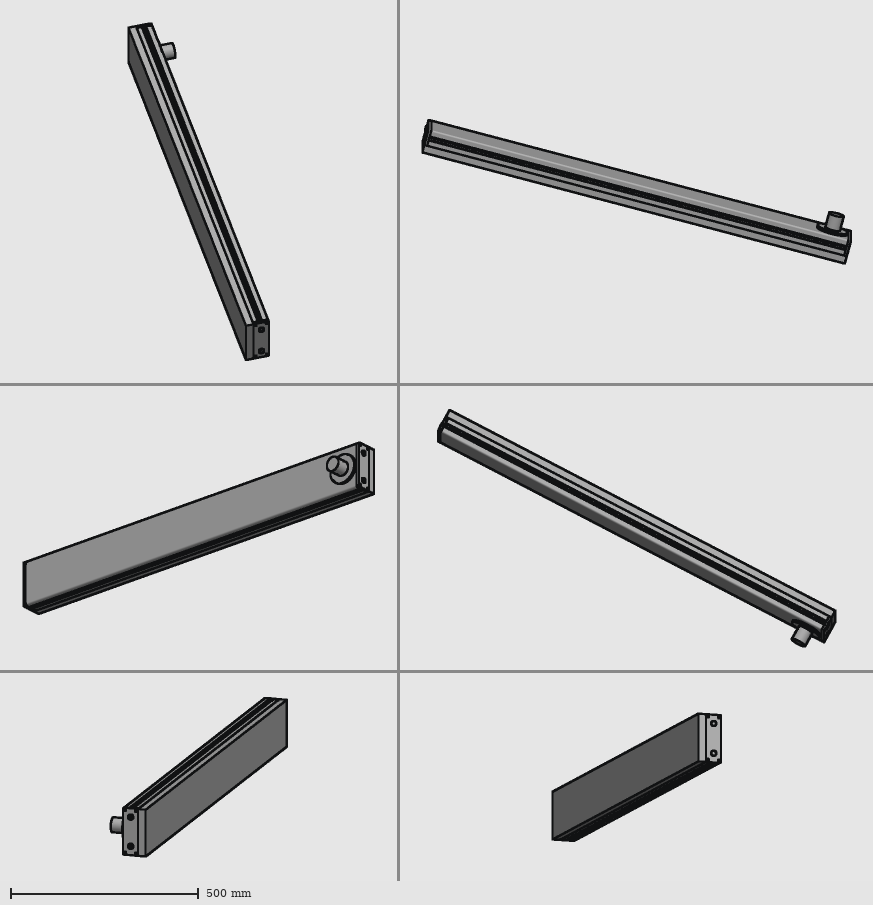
import cadquery as cq

overall_length = 1168.0
overall_depth = 110.0
height = 130.0

pad_depth = 21.0

plug_length = 3.0
body_length = overall_length - plug_length
cap_thickness = 7.6
cap_depth = 43.0
cap_back_y = pad_depth + cap_depth
back_edge_radius = 5.0

groove_front_y = 36.0
groove_back_y = 47.0
groove_depth = 5.0
ledge_width = 4.0
ledge_depth = 2.0

port_pitch = 81.0
port_diameter = 14.0
port_bore_diameter = 7.0
port_recess_depth = 4.0
screw_hole_diameter = 6.0
screw_hole_inset = 6.0

connection_x = 53.0
flange_diameter = 83.0
flange_thickness = 6.0
spigot_diameter = 41.0

cap_mid_y = pad_depth + cap_depth / 2
port_points = [(cap_mid_y, -port_pitch / 2), (cap_mid_y, port_pitch / 2)]


def block(x_start, length, y_start, depth):
    """Full-height block centred on Z = 0."""
    return cq.Workplane("XY").box(length, depth, height, centered=(False, False, True)).translate(
        (x_start, y_start, 0)
    )


def rounded_block(x_start, length):
    """Block behind the pad with its two long back edges rounded."""
    return block(x_start, length, pad_depth, cap_depth).edges("|X and >Y").fillet(back_edge_radius)


def make_pad():
    return block(0, body_length, 0, pad_depth)


def make_profile():
    inner_length = body_length - 2 * cap_thickness
    profile = rounded_block(cap_thickness, inner_length)
    ledge_front_y = groove_back_y - ledge_width
    top = height / 2
    groove = (
        cq.Workplane("YZ", origin=(cap_thickness, 0, 0))
        .moveTo(groove_front_y, top)
        .lineTo(groove_front_y, top - groove_depth)
        .lineTo(ledge_front_y, top - groove_depth)
        .lineTo(ledge_front_y, top - ledge_depth)
        .lineTo(groove_back_y, top - ledge_depth)
        .lineTo(groove_back_y, top)
        .close()
        .extrude(inner_length)
    )
    return profile.cut(groove).cut(groove.mirror("XY"))


def make_cap(x_start):
    """End cap with a screw hole through each corner."""
    y_offset = cap_depth / 2 - screw_hole_inset
    z_offset = height / 2 - screw_hole_inset
    corners = [(cap_mid_y + sy * y_offset, sz * z_offset) for sy in (-1, 1) for sz in (-1, 1)]
    holes = (
        cq.Workplane("YZ", origin=(x_start, 0, 0))
        .pushPoints(corners)
        .circle(screw_hole_diameter / 2)
        .extrude(cap_thickness)
    )
    return rounded_block(x_start, cap_thickness).cut(holes)


def port_cylinders(x_start, diameter, length):
    return (
        cq.Workplane("YZ", origin=(x_start, 0, 0))
        .pushPoints(port_points)
        .circle(diameter / 2)
        .extrude(length)
    )


def make_left_cap():
    """Cap with two counterbored ports."""
    recesses = port_cylinders(0, port_diameter, port_recess_depth)
    bores = port_cylinders(0, port_bore_diameter, cap_thickness)
    return make_cap(0).cut(recesses).cut(bores)


def make_right_cap():
    """Cap with two plugs standing out of its end face."""
    plugs = port_cylinders(body_length, port_diameter, plug_length)
    return make_cap(body_length - cap_thickness).union(plugs)


def make_connection():
    """Round flange on the back of the profile with a spigot standing on it."""
    spigot_length = overall_depth - cap_back_y - flange_thickness
    back = cq.Workplane("XZ", origin=(connection_x, cap_back_y, 0))
    flange = back.circle(flange_diameter / 2).extrude(-flange_thickness)
    spigot = (
        back.workplane(offset=-flange_thickness).circle(spigot_diameter / 2).extrude(-spigot_length)
    )
    return flange.union(spigot)


pad = make_pad()
profile = make_profile()
left_cap = make_left_cap()
right_cap = make_right_cap()
connection = make_connection()

result = cq.Compound.makeCompound(
    [pad.val(), profile.val(), left_cap.val(), right_cap.val(), connection.val()]
)